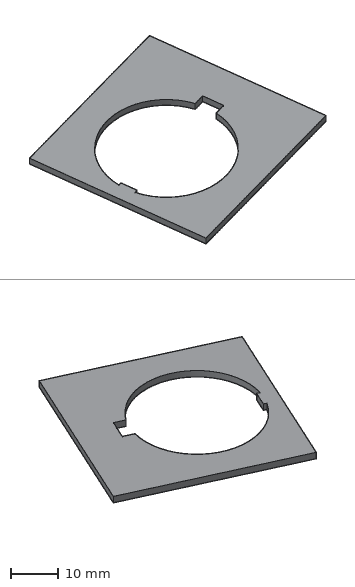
import cadquery as cq

plate_width = 44.8
plate_height = 45.75
plate_thickness = 1.7

hole_diameter = 30.35
hole_radius = hole_diameter / 2
hole_center_y = -4.3

notch_width = 5.3
notch_top_y = 13.5

key_width = 4.1
key_top_y = -18.55


def block(width, bottom_y, top_y):
    """Block through the plate thickness, centred on X, between two Y levels."""
    return (
        cq.Workplane("XY")
        .center(0, (bottom_y + top_y) / 2)
        .rect(width, top_y - bottom_y)
        .extrude(plate_thickness)
    )


plate = block(plate_width, -plate_height / 2, plate_height / 2)

round_opening = (
    cq.Workplane("XY")
    .center(0, hole_center_y)
    .circle(hole_radius)
    .extrude(plate_thickness)
)
notch = block(notch_width, hole_center_y, notch_top_y)
key = block(key_width, hole_center_y - hole_radius, key_top_y)

opening = round_opening.union(notch).cut(key)
result = plate.cut(opening)